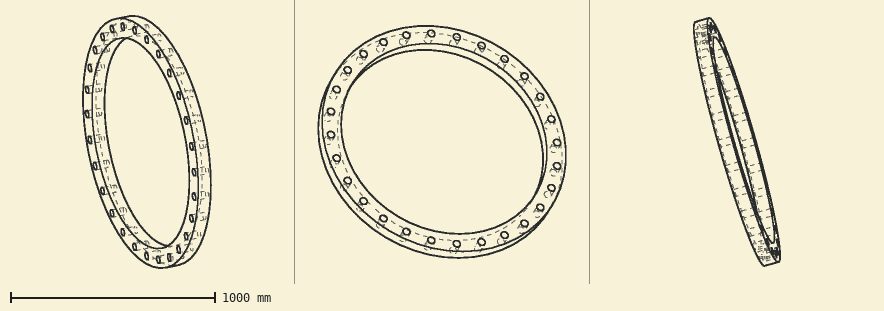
import cadquery as cq

outer_diameter = 1245.0
bore_diameter = 1050.0
thickness = 70.0

bolt_circle_diameter = 1160.0
bolt_hole_diameter = 36.0
bolt_hole_count = 28
first_hole_angle = 360 / bolt_hole_count / 2


def make_ring():
    """Plain ring, with one flat face on the XZ plane."""
    return (
        cq.Workplane("XZ")
        .circle(outer_diameter / 2)
        .circle(bore_diameter / 2)
        .extrude(thickness)
    )


def make_bolt_holes():
    """Cylinders that cut the bolt holes through the full thickness."""
    return (
        cq.Workplane("XZ")
        .polarArray(bolt_circle_diameter / 2, first_hole_angle, 360, bolt_hole_count)
        .circle(bolt_hole_diameter / 2)
        .extrude(thickness)
    )


result = make_ring().cut(make_bolt_holes())